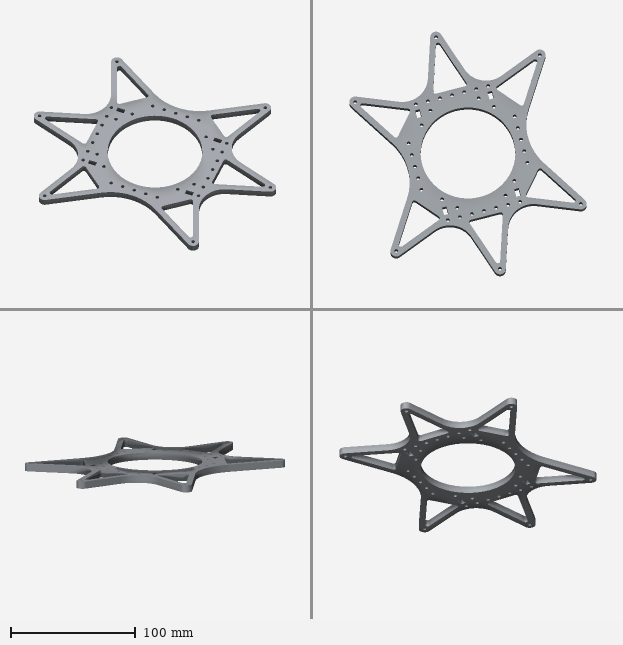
import cadquery as cq
import math

THICKNESS = 5.85
BORE_RADIUS = 38.0

TIP_DISTANCE = 100.0
TIP_RADIUS = 4.65
TAPER = 18.0
DIAGONAL_ANGLE = 50.0
SIDE_ANGLES = [0, 180]
DIAGONAL_ANGLES = [
    DIAGONAL_ANGLE,
    180 - DIAGONAL_ANGLE,
    180 + DIAGONAL_ANGLE,
    360 - DIAGONAL_ANGLE,
]
ARM_ANGLES = sorted(SIDE_ANGLES + DIAGONAL_ANGLES)

SIDE_VALLEY_RADIUS = 20.5
END_VALLEY_RADIUS = 44.5

ARM_WALL = 4.85
WINDOW_CORNER_RADIUS = 1.85
SIDE_WINDOW_BASE = 54.5
DIAGONAL_WINDOW_BASE = 56.75

HOLE_DIAMETER = 2.9
HOLE_PITCH = 10.0
END_ROW_Y = 44.0
END_ROW_STEPS = 2
SIDE_COLUMN_X = 50.0
SIDE_COLUMN_STEPS = 3
INNER_HOLE_X = 42.0
INNER_HOLE_Y = 2 * HOLE_PITCH
CORNER_HOLE_X = 32.0
CORNER_ROW_Y = SIDE_COLUMN_STEPS * HOLE_PITCH
SLOT_LENGTH = 6.5
SLOT_WIDTH = 3.7


def polar(radius, angle, center=(0, 0)):
    """Point at a radius and an angle in degrees from a centre."""
    x = center[0] + radius * math.cos(math.radians(angle))
    y = center[1] + radius * math.sin(math.radians(angle))
    return (x, y)


def sine(angle):
    return math.sin(math.radians(angle))


def tip_arc(angle):
    """Start, middle and end of the rounded tip of the arm at this angle."""
    center = polar(TIP_DISTANCE, angle)
    half_sweep = 90 - TAPER
    return [polar(TIP_RADIUS, angle + turn, center) for turn in (-half_sweep, 0, half_sweep)]


def valley_arc(angle, next_angle):
    """Start, middle and end of the arc tangent to the facing edges of two neighbouring arms."""
    joins_side_arm = angle in SIDE_ANGLES or next_angle % 360 in SIDE_ANGLES
    radius = SIDE_VALLEY_RADIUS if joins_side_arm else END_VALLEY_RADIUS
    bisector = (angle + next_angle) / 2
    half_gap = (next_angle - angle) / 2
    edge_offset = TIP_DISTANCE * sine(TAPER) + TIP_RADIUS
    center = polar((edge_offset + radius) / sine(half_gap + TAPER), bisector)
    directions = (angle - TAPER - 90, bisector + 180, next_angle + TAPER + 90)
    return [polar(radius, direction, center) for direction in directions]


def star_plate():
    next_angles = ARM_ANGLES[1:] + [ARM_ANGLES[0] + 360]
    first_point = tip_arc(ARM_ANGLES[0])[0]
    outline = cq.Workplane("XY").moveTo(*first_point)
    for angle, next_angle in zip(ARM_ANGLES, next_angles):
        tip_start, tip_middle, tip_end = tip_arc(angle)
        valley_start, valley_middle, valley_end = valley_arc(angle, next_angle)
        if angle != ARM_ANGLES[0]:
            outline = outline.lineTo(*tip_start)
        outline = outline.threePointArc(tip_middle, tip_end)
        outline = outline.lineTo(*valley_start)
        outline = outline.threePointArc(valley_middle, valley_end)
    return outline.close().extrude(THICKNESS)


def arm_window(angle, base):
    """Triangular cutter that leaves a wall of even thickness along the arm's edges."""
    apex = TIP_DISTANCE - (ARM_WALL - TIP_RADIUS) / sine(TAPER)
    half_width = (apex - base) * math.tan(math.radians(TAPER))
    corners = [(base, -half_width), (apex, 0), (base, half_width)]
    window = cq.Workplane("XY").polyline(corners).close().extrude(THICKNESS)
    window = window.edges("|Z").fillet(WINDOW_CORNER_RADIUS)
    return window.rotate((0, 0, 0), (0, 0, 1), angle)


def four_corners(x, y):
    """The point and its mirror images in both centre lines."""
    return [(x_side * x, y_side * y) for x_side in (-1, 1) for y_side in (-1, 1)]


def centered_steps(count):
    """Evenly pitched offsets with this many steps on each side of zero."""
    return [step * HOLE_PITCH for step in range(-count, count + 1)]


def hole_positions():
    points = [polar(TIP_DISTANCE, angle) for angle in ARM_ANGLES]
    for side in (-1, 1):
        points += [(x, side * END_ROW_Y) for x in centered_steps(END_ROW_STEPS)]
        points += [(side * SIDE_COLUMN_X, y) for y in centered_steps(SIDE_COLUMN_STEPS)]
    points += four_corners(INNER_HOLE_X, INNER_HOLE_Y)
    points += four_corners(CORNER_HOLE_X, CORNER_ROW_Y)
    return points


def mounting_holes():
    sketch = cq.Workplane("XY").pushPoints(hole_positions())
    return sketch.circle(HOLE_DIAMETER / 2).extrude(THICKNESS)


def slots():
    sketch = cq.Workplane("XY").pushPoints(four_corners(INNER_HOLE_X, CORNER_ROW_Y))
    return sketch.rect(SLOT_LENGTH, SLOT_WIDTH).extrude(THICKNESS)


def central_bore():
    return cq.Workplane("XY").circle(BORE_RADIUS).extrude(THICKNESS)


result = star_plate().cut(central_bore())
for side_angle in SIDE_ANGLES:
    result = result.cut(arm_window(side_angle, SIDE_WINDOW_BASE))
for diagonal_angle in DIAGONAL_ANGLES:
    result = result.cut(arm_window(diagonal_angle, DIAGONAL_WINDOW_BASE))
result = result.cut(mounting_holes()).cut(slots())